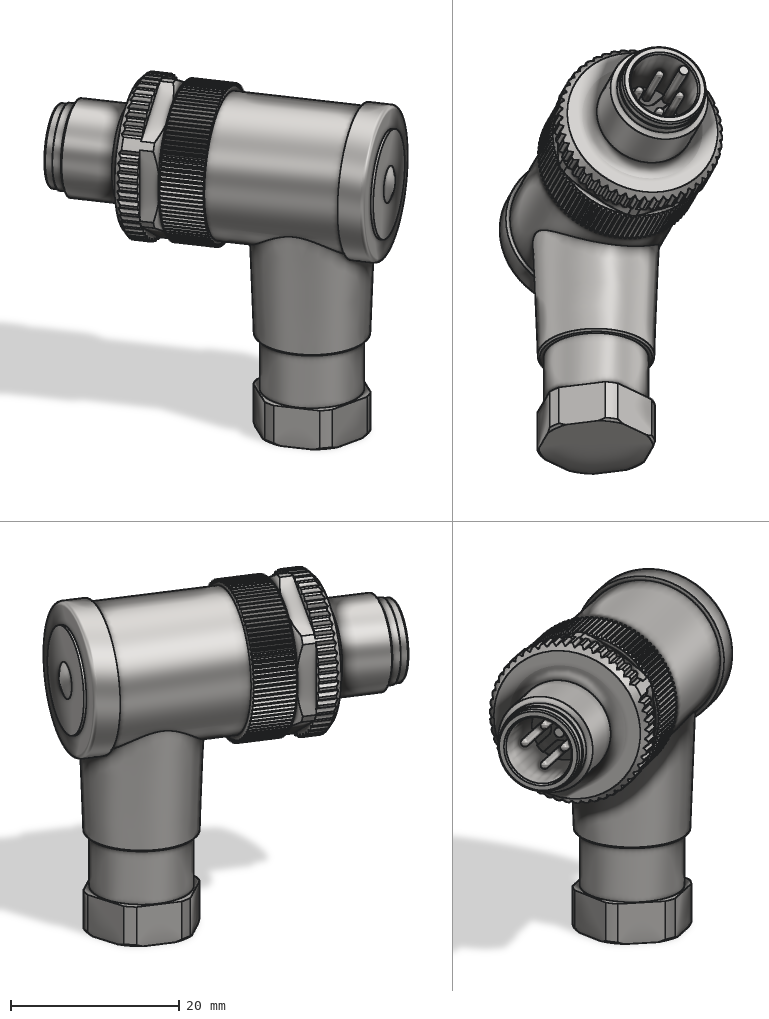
import cadquery as cq
import math


TIP_STEP_X = 1.1
THREAD_X = 2.15
THREAD_END_X = 9.0
NUT_X = 10.0
TEETH_END_X = 13.05
NUT_CONE_X = 14.73
NUT_END_X = 15.4
KNURL_X = 15.55
KNURL_END_X = 21.15
CAP_X = 37.8
CAP_END_X = 41.08
DISK_END_X = 41.4
LENGTH = 42.0

HEIGHT = 42.63

HEX_SIDES = 6

TIP_RADIUS = 10.3 / 2
TIP_CHAMFER = 0.2
TIP_STEP_RADIUS = 10.6 / 2
THREAD_RADIUS = 12.0 / 2
THREAD_LEAD = 0.35
NECK_RADIUS = 5.5
NECK_LEAD = 0.3
FLARE_RADIUS = 7.43
FLARE_MID = (9.65, 6.3)

SOCKET_RADIUS = 8.3 / 2
SOCKET_CHAMFER = 0.2
SOCKET_FLOOR_RADIUS = 3.85
SOCKET_DEPTH = 8.0
POCKET_DEPTH = 0.3
POCKET_RADIUS = 1.22
PIN_COUNT = 4
PIN_CIRCLE_RADIUS = 2.5
PIN_RADIUS = 1.0 / 2
PIN_TIP_X = 1.75
KEY_RADIUS = 0.61
KEY_OFFSET = 2.5
KEY_X = 0.4

NUT_RADIUS = 10.1
NUT_FACE_RADIUS = 9.28
NUT_END_RADIUS = 9.17
NUT_HEX_FLATS = 18.0
TOOTH_COUNT = 52
TOOTH_DEPTH = 0.38
TOOTH_GROOVE_SHARE = 0.75
MARK_ANGLE = 30.0
CREST_OVERSIZE = 1.004

KNURL_RADIUS = 9.85
KNURL_ROOT_RADIUS = 9.5
KNURL_FACE_RADIUS = 9.55
KNURL_COUNT = 100
KNURL_GROOVE_SHARE = 0.8

HOUSING_Y = -0.25
BODY_RADIUS = 18.0 / 2
CAP_RADIUS = 19.0 / 2
CAP_FILLET = 0.5
DISK_RADIUS = 6.65
DOME_RADIUS = 2.25
DOME_HEIGHT = LENGTH - DISK_END_X

BRANCH_X = 31.85
CONE_TOP_RADIUS = 7.73
CONE_BOTTOM_RADIUS = 13.9 / 2
CONE_BOTTOM_Z = -20.46
CONE_EDGE_CHAMFER = 0.25
STEM_RADIUS = 12.5 / 2
CLAMP_TOP_Z = -27.4
CLAMP_BOTTOM_Z = NUT_RADIUS - HEIGHT
CLAMP_FLATS = 13.0
CLAMP_RADIUS = 7.1
CLAMP_CHAMFER = 0.3


def across_corners(across_flats):
    return across_flats / math.cos(math.pi / HEX_SIDES)


def cylinder_x(radius, start, end, y=0.0, z=0.0):
    return cq.Workplane("YZ", origin=(start, y, z)).circle(radius).extrude(end - start)


def revolve_about_x(profile):
    return profile.close().revolve(360, (0, 0, 0), (1, 0, 0))


def grooved_prism(radius, depth, count, groove_share, start, end, phase=0.0, skipped=()):
    """Prism along X with V grooves; angles run from -Y towards +Z, the first groove at phase.

    The crests stand slightly proud of radius and are meant to be trimmed by a turned envelope.
    """
    pitch = 2 * math.pi / count
    half_groove = groove_share * pitch / 2
    crest = radius * CREST_OVERSIZE
    root = radius - depth
    points = []
    for index in range(count):
        if index in skipped:
            continue
        middle = phase + index * pitch
        for offset, distance in ((-half_groove, crest), (0.0, root), (half_groove, crest)):
            angle = middle + offset
            points.append((-distance * math.cos(angle), distance * math.sin(angle)))
    return cq.Workplane("YZ", origin=(start, 0, 0)).polyline(points).close().extrude(end - start)


def plug_sleeve():
    profile = (
        cq.Workplane("XY")
        .moveTo(0, 0)
        .lineTo(0, TIP_RADIUS - TIP_CHAMFER)
        .lineTo(TIP_CHAMFER, TIP_RADIUS)
        .lineTo(TIP_STEP_X, TIP_RADIUS)
        .lineTo(TIP_STEP_X, TIP_STEP_RADIUS)
        .lineTo(THREAD_X, TIP_STEP_RADIUS)
        .lineTo(THREAD_X + THREAD_LEAD, THREAD_RADIUS)
        .lineTo(THREAD_END_X - NECK_LEAD, THREAD_RADIUS)
        .lineTo(THREAD_END_X, NECK_RADIUS)
        .threePointArc(FLARE_MID, (NUT_X, FLARE_RADIUS))
        .lineTo(TEETH_END_X, FLARE_RADIUS)
        .lineTo(TEETH_END_X, 0)
    )
    return revolve_about_x(profile)


def socket_cut():
    profile = (
        cq.Workplane("XY")
        .moveTo(0, 0)
        .lineTo(0, SOCKET_RADIUS + SOCKET_CHAMFER)
        .lineTo(SOCKET_CHAMFER, SOCKET_RADIUS)
        .lineTo(SOCKET_DEPTH, SOCKET_FLOOR_RADIUS)
        .lineTo(SOCKET_DEPTH, 0)
    )
    return revolve_about_x(profile)


def contact_pocket(angle):
    """Floor recess around one pin: a 90 degree wedge with its corner rounded about the pin."""
    half_diagonal = math.sqrt(0.5)
    reach = SOCKET_RADIUS
    tangent_y = POCKET_RADIUS * half_diagonal
    tangent_z = PIN_CIRCLE_RADIUS - tangent_y
    wedge = (
        cq.Workplane("YZ", origin=(SOCKET_DEPTH, 0, 0))
        .moveTo(tangent_y, tangent_z)
        .lineTo(tangent_y + reach, tangent_z + reach)
        .lineTo(-tangent_y - reach, tangent_z + reach)
        .lineTo(-tangent_y, tangent_z)
        .threePointArc((0, PIN_CIRCLE_RADIUS - POCKET_RADIUS), (tangent_y, tangent_z))
        .close()
        .extrude(POCKET_DEPTH)
    )
    floor = cylinder_x(SOCKET_FLOOR_RADIUS, SOCKET_DEPTH, SOCKET_DEPTH + POCKET_DEPTH)
    return wedge.intersect(floor).rotate((0, 0, 0), (1, 0, 0), angle)


def contact_pin(angle):
    shank_x = PIN_TIP_X + PIN_RADIUS
    shank = cylinder_x(PIN_RADIUS, shank_x, TEETH_END_X, z=PIN_CIRCLE_RADIUS)
    tip = cq.Workplane("XY").sphere(PIN_RADIUS).translate((shank_x, 0, PIN_CIRCLE_RADIUS))
    return shank.union(tip).rotate((0, 0, 0), (1, 0, 0), angle)


def plug():
    shape = plug_sleeve().cut(socket_cut())
    for index in range(PIN_COUNT):
        shape = shape.cut(contact_pocket(index * 360 / PIN_COUNT))
    for index in range(PIN_COUNT):
        shape = shape.union(contact_pin(index * 360 / PIN_COUNT))
    key = cylinder_x(KEY_RADIUS, KEY_X, SOCKET_DEPTH + POCKET_DEPTH, -KEY_OFFSET, KEY_OFFSET)
    return shape.union(key)


def coupling_collar():
    """Toothed collar with a conical front edge; one groove is left out as a mark."""
    teeth = grooved_prism(
        NUT_RADIUS, TOOTH_DEPTH, TOOTH_COUNT, TOOTH_GROOVE_SHARE,
        NUT_X, TEETH_END_X, math.radians(MARK_ANGLE), skipped=(0,),
    )
    lead = NUT_RADIUS - NUT_FACE_RADIUS
    envelope = (
        cq.Workplane("XY")
        .moveTo(NUT_X, 0)
        .lineTo(NUT_X, NUT_FACE_RADIUS)
        .lineTo(NUT_X + lead, NUT_RADIUS)
        .lineTo(TEETH_END_X, NUT_RADIUS)
        .lineTo(TEETH_END_X, 0)
    )
    front = cylinder_x(FLARE_RADIUS, NUT_X, TEETH_END_X)
    return teeth.intersect(revolve_about_x(envelope)).cut(front)


def coupling_hexagon():
    prism = (
        cq.Workplane("YZ", origin=(TEETH_END_X, 0, 0))
        .polygon(HEX_SIDES, across_corners(NUT_HEX_FLATS))
        .extrude(NUT_END_X - TEETH_END_X)
        .rotate((0, 0, 0), (1, 0, 0), 90)
    )
    envelope = (
        cq.Workplane("XY")
        .moveTo(TEETH_END_X, 0)
        .lineTo(TEETH_END_X, NUT_RADIUS)
        .lineTo(NUT_CONE_X, NUT_RADIUS)
        .lineTo(NUT_END_X, NUT_END_RADIUS)
        .lineTo(NUT_END_X, 0)
    )
    return prism.intersect(revolve_about_x(envelope))


def knurled_ring():
    knurl = grooved_prism(
        KNURL_RADIUS, KNURL_RADIUS - KNURL_ROOT_RADIUS, KNURL_COUNT, KNURL_GROOVE_SHARE,
        KNURL_X, KNURL_END_X,
    )
    lead = KNURL_RADIUS - KNURL_FACE_RADIUS
    envelope = (
        cq.Workplane("XY")
        .moveTo(KNURL_X, 0)
        .lineTo(KNURL_X, KNURL_FACE_RADIUS)
        .lineTo(KNURL_X + lead, KNURL_RADIUS)
        .lineTo(KNURL_END_X, KNURL_RADIUS)
        .lineTo(KNURL_END_X, 0)
    )
    return knurl.intersect(revolve_about_x(envelope))


def rear_cap():
    cap = cylinder_x(CAP_RADIUS, CAP_X, CAP_END_X).faces(">X").edges().fillet(CAP_FILLET)
    dome_sphere_radius = (DOME_RADIUS**2 + DOME_HEIGHT**2) / (2 * DOME_HEIGHT)
    half_angle = math.asin(DOME_RADIUS / dome_sphere_radius) / 2
    arc_middle = (
        LENGTH - dome_sphere_radius * (1 - math.cos(half_angle)),
        dome_sphere_radius * math.sin(half_angle),
    )
    button_profile = (
        cq.Workplane("XY")
        .moveTo(CAP_X, 0)
        .lineTo(CAP_X, DISK_RADIUS)
        .lineTo(DISK_END_X, DISK_RADIUS)
        .lineTo(DISK_END_X, DOME_RADIUS)
        .threePointArc(arc_middle, (LENGTH, 0))
    )
    return cap.union(revolve_about_x(button_profile))


def cable_branch():
    cone_profile = (
        cq.Workplane("XZ")
        .lineTo(CONE_TOP_RADIUS, 0)
        .lineTo(CONE_BOTTOM_RADIUS, CONE_BOTTOM_Z)
        .lineTo(0, CONE_BOTTOM_Z)
        .close()
    )
    cone = cone_profile.revolve(360, (0, 0, 0), (0, 1, 0)).faces("<Z").edges().chamfer(CONE_EDGE_CHAMFER)
    stem = (
        cq.Workplane("XY", origin=(0, 0, CONE_BOTTOM_Z))
        .circle(STEM_RADIUS)
        .extrude(CLAMP_TOP_Z - CONE_BOTTOM_Z)
    )
    return cone.union(stem)


def clamping_nut():
    height = CLAMP_TOP_Z - CLAMP_BOTTOM_Z
    base = cq.Workplane("XY", origin=(0, 0, CLAMP_BOTTOM_Z))
    prism = base.polygon(HEX_SIDES, across_corners(CLAMP_FLATS)).extrude(height)
    envelope = base.circle(CLAMP_RADIUS).extrude(height).faces("<Z").edges().chamfer(CLAMP_CHAMFER)
    return prism.intersect(envelope)


housing = cylinder_x(BODY_RADIUS, NUT_END_X, CAP_X).union(rear_cap()).translate((0, HOUSING_Y, 0))
branch = cable_branch().union(clamping_nut()).translate((BRANCH_X, HOUSING_Y, 0))

result = (
    housing.union(branch)
    .union(knurled_ring())
    .union(coupling_hexagon())
    .union(coupling_collar())
    .union(plug())
)